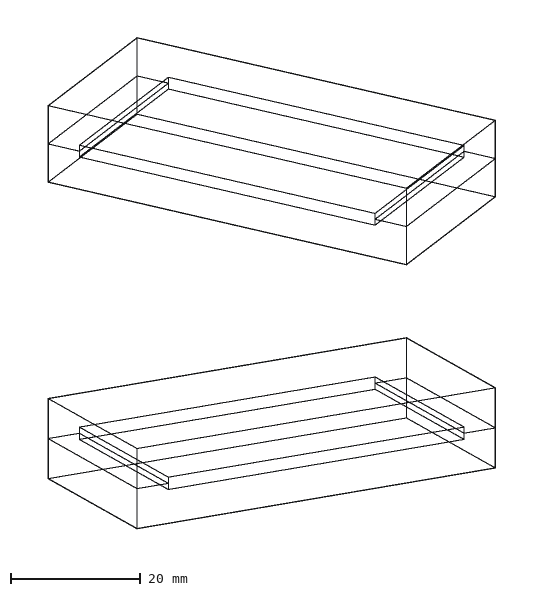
import cadquery as cq

length = 63.0
width = 28.5
height = 13.0
half_height = height / 2

slot_length = 52.0
slot_height = 2.0
groove_depth = slot_height / 2


def make_lower_half():
    """Plain block below the split, with half of the slot cut into its top face."""
    block = cq.Workplane("XY").box(length, width, half_height, centered=(True, True, False))
    block = block.translate((0, 0, -half_height))
    groove = cq.Workplane("XY").box(slot_length, width, groove_depth, centered=(True, True, False))
    return block.cut(groove.translate((0, 0, -groove_depth)))


lower_half = make_lower_half()
upper_half = lower_half.mirror("XY")

result = cq.Compound.makeCompound([lower_half.val(), upper_half.val()])